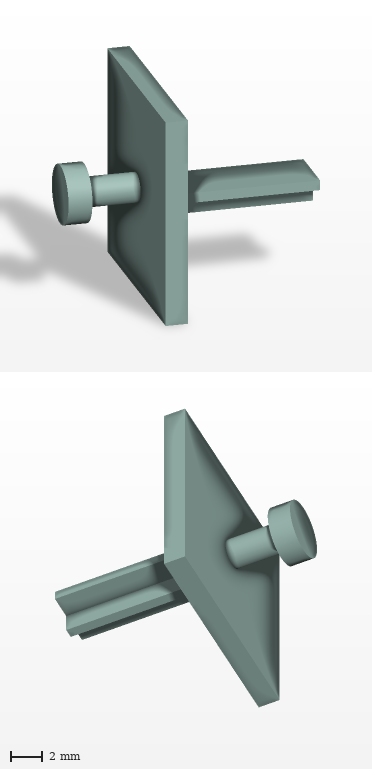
import cadquery as cq

plate_side = 14.0
plate_thickness = 1.5

shank_diameter = 2.0
shank_length = 3.5
head_diameter = 2 * shank_diameter
head_thickness = 1.6

overall_length = 16.8
bar_length = overall_length - head_thickness - shank_length - plate_thickness
flange_width = head_diameter
bar_height = flange_width / 2
flange_thickness = 0.67
web_thickness = flange_thickness


def cylinder_along_y(diameter, start_y, length):
    """Cylinder on the Y axis, from start_y toward +Y."""
    return cq.Workplane("XY").add(
        cq.Solid.makeCylinder(diameter / 2, length, cq.Vector(0, start_y, 0), cq.Vector(0, 1, 0))
    )


def bar_strip(width, height):
    """Rectangular strip behind the plate, hanging down from the level of the pin axis."""
    return (
        cq.Workplane("XY")
        .box(width, bar_length, height, centered=(True, False, False))
        .translate((0, plate_thickness, -height))
    )


plate = cq.Workplane("XY").box(
    plate_side, plate_thickness, plate_side, centered=(True, False, True)
)
shank = cylinder_along_y(shank_diameter, -shank_length, shank_length)
head = cylinder_along_y(head_diameter, -shank_length - head_thickness, head_thickness)
flange = bar_strip(flange_width, flange_thickness)
web = bar_strip(web_thickness, bar_height)

result = plate.union(shank).union(head).union(flange).union(web)